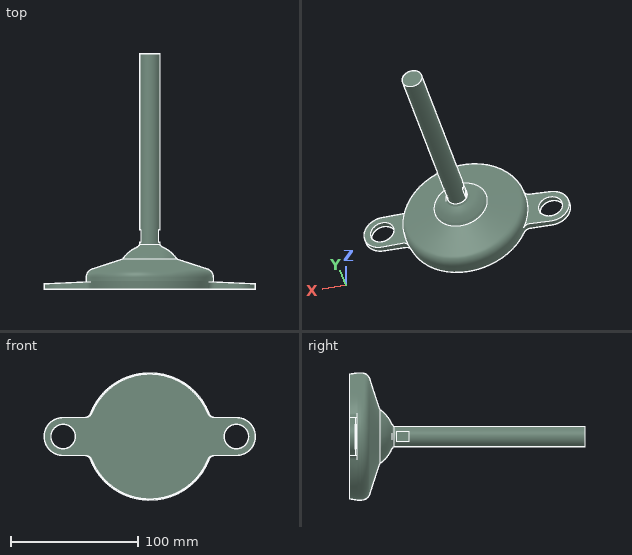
import cadquery as cq
import math

TOTAL_LENGTH = 185.0

FOOT_RADIUS = 100.0 / 2
BASE_RADIUS = 49.0
BAND_HEIGHT = 6.5
RIM_HEIGHT = 9.5
SHOULDER_RADIUS = 7.0
CONE_SLOPE = math.radians(18)
CONE_TOP_RADIUS = 21.5
DOME_RADIUS = 25.5
DOME_START_RADIUS = 20.0
DOME_START_HEIGHT = 25.7

LIP_RADIUS = 9.6

LUG_REACH = 166.0 / 2
LUG_RADIUS = 15.0
LUG_HOLE_DIAMETER = 19.0
LUG_TIP_HEIGHT = 4.5
LUG_ROOT_HEIGHT = 6.0
LUG_NECK_FILLET = 5.0
LUG_CENTER = LUG_REACH - LUG_RADIUS

STUD_RADIUS = 16.1 / 2
STUD_SEAT = 25.7
FLAT_WIDTH = 14.0
FLAT_START = 37.0
FLAT_LENGTH = 9.6

SHOULDER_CENTER_RADIUS = FOOT_RADIUS - SHOULDER_RADIUS
DOME_CENTER_HEIGHT = DOME_START_HEIGHT - math.sqrt(DOME_RADIUS**2 - DOME_START_RADIUS**2)
LIP_HEIGHT = DOME_CENTER_HEIGHT + math.sqrt(DOME_RADIUS**2 - LIP_RADIUS**2)
LIP_TOP = LIP_HEIGHT + LIP_RADIUS - STUD_RADIUS


def shoulder_point(angle):
    """Point on the shoulder arc; the angle is measured from the radial direction."""
    return (
        SHOULDER_CENTER_RADIUS + SHOULDER_RADIUS * math.cos(angle),
        RIM_HEIGHT + SHOULDER_RADIUS * math.sin(angle),
    )


def dome_point(radius):
    """Point on the dome arc at a given distance from the axis."""
    return (radius, DOME_CENTER_HEIGHT + math.sqrt(DOME_RADIUS**2 - radius**2))


def cylinder(radius, start, end):
    """Round bar along the axis between two heights."""
    return cq.Workplane("XZ", origin=(0, start, 0)).circle(radius).extrude(start - end)


def make_round_foot():
    shoulder_sweep = math.pi / 2 - CONE_SLOPE
    shoulder_end = shoulder_point(shoulder_sweep)
    cone_rise = (shoulder_end[0] - CONE_TOP_RADIUS) * math.tan(CONE_SLOPE)
    return (
        cq.Workplane("XY")
        .lineTo(BASE_RADIUS, 0)
        .lineTo(FOOT_RADIUS, BAND_HEIGHT)
        .lineTo(FOOT_RADIUS, RIM_HEIGHT)
        .threePointArc(shoulder_point(shoulder_sweep / 2), shoulder_end)
        .lineTo(CONE_TOP_RADIUS, shoulder_end[1] + cone_rise)
        .lineTo(DOME_START_RADIUS, DOME_START_HEIGHT)
        .threePointArc(dome_point((DOME_START_RADIUS + LIP_RADIUS) / 2), dome_point(LIP_RADIUS))
        .lineTo(STUD_RADIUS, LIP_TOP)
        .lineTo(0, LIP_TOP)
        .close()
        .revolve(360, (0, 0, 0), (0, 1, 0))
    )


def make_lug_plate():
    """Both lugs with their filleted necks, sloping down towards the tips."""
    root_radius = BASE_RADIUS + (FOOT_RADIUS - BASE_RADIUS) * LUG_ROOT_HEIGHT / BAND_HEIGHT
    disc = (
        cq.Workplane("XY")
        .polyline([(0, 0), (BASE_RADIUS, 0), (root_radius, LUG_ROOT_HEIGHT), (0, LUG_ROOT_HEIGHT)])
        .close()
        .revolve(360, (0, 0, 0), (0, 1, 0))
    )
    strap = (
        cq.Workplane("XZ")
        .slot2D(2 * LUG_REACH, 2 * LUG_RADIUS)
        .extrude(-LUG_ROOT_HEIGHT)
    )
    neck_x = math.sqrt(((BASE_RADIUS + root_radius) / 2) ** 2 - LUG_RADIUS**2)
    plate = disc.union(strap)
    for side_x in (-1, 1):
        for side_z in (-1, 1):
            neck = cq.selectors.NearestToPointSelector(
                (side_x * neck_x, LUG_ROOT_HEIGHT / 2, side_z * LUG_RADIUS)
            )
            plate = plate.edges(neck).fillet(LUG_NECK_FILLET)

    slope_envelope = (
        cq.Workplane("XY")
        .polyline([
            (-LUG_REACH, 0),
            (LUG_REACH, 0),
            (LUG_REACH, LUG_TIP_HEIGHT),
            (root_radius, LUG_ROOT_HEIGHT),
            (-root_radius, LUG_ROOT_HEIGHT),
            (-LUG_REACH, LUG_TIP_HEIGHT),
        ])
        .close()
        .extrude(FOOT_RADIUS, both=True)
    )
    holes = (
        cq.Workplane("XZ")
        .pushPoints([(-LUG_CENTER, 0), (LUG_CENTER, 0)])
        .circle(LUG_HOLE_DIAMETER / 2)
        .extrude(-LUG_ROOT_HEIGHT)
    )
    return plate.intersect(slope_envelope).cut(holes)


def make_foot():
    stud_hole = cylinder(STUD_RADIUS, STUD_SEAT, LIP_TOP)
    return make_round_foot().union(make_lug_plate()).cut(stud_hole)


def make_stud():
    bar = cylinder(STUD_RADIUS, STUD_SEAT, TOTAL_LENGTH)
    flat_depth = STUD_RADIUS - FLAT_WIDTH / 2
    for side in (-1, 1):
        flat_cut = cq.Workplane("XY").box(flat_depth, FLAT_LENGTH, 2 * STUD_RADIUS).translate(
            (side * (FLAT_WIDTH + flat_depth) / 2, FLAT_START + FLAT_LENGTH / 2, 0)
        )
        bar = bar.cut(flat_cut)
    return bar


foot = make_foot()
stud = make_stud()
result = cq.Compound.makeCompound([foot.solids().val(), stud.solids().val()])